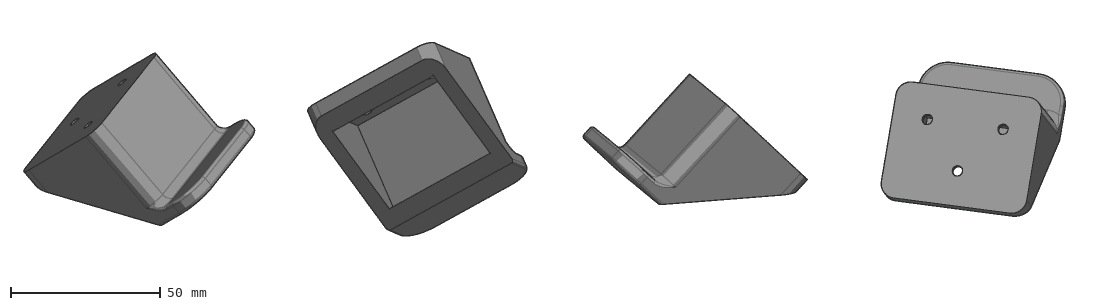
import cadquery as cq
import math


width = 50.0
block_size = 40.0
lip_thickness = 5.0
lip_reach = 15.0
block_corner = 5.0
lip_corner = 10.0
lip_edge_round = 1.0
root_radius = 3.0
front_height = 5.0
face_thickness = 2.0
wall = 5.0
hole_diameter = 3.5
hole_side_offset = 13.0
hole_row_offset = 8.0
tilt = 45.0

half_width = width / 2
lip_face = block_size - lip_thickness
lip_end = block_size + lip_reach
corner_x = block_size - block_corner
corner_y = half_width - block_corner
base_drop = front_height * math.sin(math.radians(tilt))


def make_block():
    """Rounded block, sunk into the lip to just short of its rounded back edge."""
    depth = block_size - lip_edge_round
    block = cq.Workplane("XY").box(block_size, width, depth, centered=(False, True, False))
    return block.edges("|Z").fillet(block_corner)


def make_lip():
    """Plate behind the block with rounded free corners and a softened back edge."""
    lip = (
        cq.Workplane("XY", origin=(0, 0, lip_face))
        .box(lip_end, width, lip_thickness, centered=(False, True, False))
    )
    lip = lip.edges("|Z and >X").fillet(lip_corner)
    return lip.faces(">Z").edges("not <X").fillet(lip_edge_round)


def root_profile(start_y):
    """Section of the concave root fillet, with a foot sunk into the lip."""
    start = lip_face - root_radius
    foot = lip_face + lip_edge_round
    arc_offset = root_radius * (1 - math.sqrt(0.5))
    return (
        cq.Workplane("XZ", origin=(corner_x, start_y, 0))
        .moveTo(0, start)
        .lineTo(block_corner, start)
        .threePointArc(
            (block_corner + arc_offset, lip_face - arc_offset),
            (block_corner + root_radius, lip_face),
        )
        .lineTo(block_corner + root_radius, foot)
        .lineTo(0, foot)
        .close()
    )


def make_root_fillet():
    """Root fillet along the block and around its corners, trimmed flush with the sides."""
    fillet = root_profile(corner_y).extrude(2 * corner_y)
    for side in (-1, 1):
        corner = root_profile(side * corner_y).revolve(90, (0, 0, 0), (0, side, 0))
        fillet = fillet.union(corner)
    trim = cq.Workplane("XY").box(lip_end, width, block_size, centered=(False, True, False))
    return fillet.intersect(trim)


def make_cavity():
    """Hollow inside the block, opened later by the flat base."""
    return (
        cq.Workplane("XY", origin=(wall, 0, face_thickness))
        .box(block_size - 2 * wall, width - 2 * wall, lip_face - face_thickness,
             centered=(False, True, False))
    )


def make_screw_holes():
    """One hole in the lower row and two in the upper row of the mounting face."""
    middle = block_size / 2
    upper_row = middle + hole_row_offset
    positions = [
        (middle - hole_row_offset, 0),
        (upper_row, -hole_side_offset),
        (upper_row, hole_side_offset),
    ]
    return (
        cq.Workplane("XY")
        .pushPoints(positions)
        .circle(hole_diameter / 2)
        .extrude(2 * face_thickness)
    )


def round_front_rim(solid):
    """Round the front rim of the lip; tangent edges carry it on along the ends of the root fillet."""
    rim = cq.selectors.NearestToPointSelector((lip_end, 0, lip_face))
    return solid.edges(rim).fillet(lip_edge_round)


body = make_block().union(make_lip()).union(make_root_fillet()).clean()
body = round_front_rim(body)
body = body.cut(make_cavity()).cut(make_screw_holes())

body = body.rotate((0, 0, 0), (1, 0, 0), 180).rotate((0, 0, 0), (0, 1, 0), -tilt)

cut_size = 4 * block_size
below_base = (
    cq.Workplane("XY", origin=(0, 0, -base_drop - cut_size))
    .box(cut_size, cut_size, cut_size, centered=(True, True, False))
)
result = body.cut(below_base)